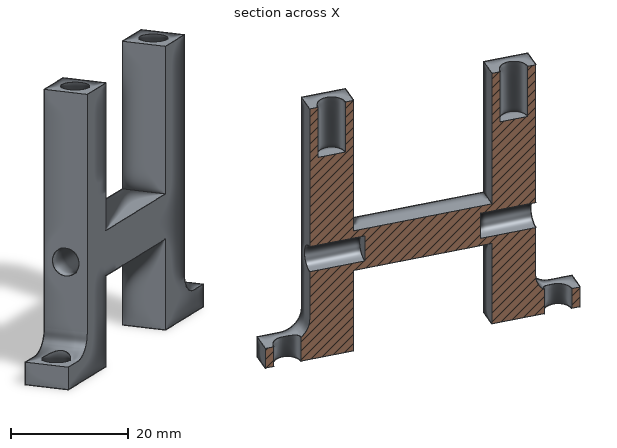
import cadquery as cq

length = 57.0
height = 50.0
thickness = 8.0
gap = 25.0
post_width = 8.0
foot_height = 4.0
foot_fillet = 4.0
bar_height = 8.0
bar_center_z = 20.0
hole_diameter = 4.9
blind_depth = 10.0

post_inner_y = gap / 2
post_outer_y = post_inner_y + post_width
post_center_y = post_inner_y + post_width / 2
foot_hole_y = (post_outer_y + length / 2) / 2


def block(y_min, y_max, z_min, z_max):
    """Full-thickness block centred on X, between the given Y and Z limits."""
    return (
        cq.Workplane("XY")
        .box(thickness, y_max - y_min, z_max - z_min, centered=(True, False, False))
        .translate((0, y_min, z_min))
    )


def drill(start, direction, depth):
    """Cylinder for a hole that enters at start and runs along direction."""
    return cq.Solid.makeCylinder(
        hole_diameter / 2, depth, cq.Vector(*start), cq.Vector(*direction)
    )


def leg():
    """Post on the +Y side with its filleted foot."""
    post = block(post_inner_y, post_outer_y, 0, height)
    foot = block(post_inner_y, length / 2, 0, foot_height)
    corner = cq.selectors.NearestToPointSelector((0, post_outer_y, foot_height))
    return post.union(foot).edges(corner).fillet(foot_fillet)


def leg_holes():
    """Holes of the +Y leg: through the foot, into the post top, into the crossbar end."""
    foot_hole = drill((0, foot_hole_y, 0), (0, 0, 1), height)
    top_hole = drill((0, post_center_y, height), (0, 0, -1), blind_depth)
    side_hole = drill((0, post_outer_y, bar_center_z), (0, -1, 0), blind_depth)
    return [foot_hole, top_hole, side_hole]


crossbar = block(
    -post_inner_y, post_inner_y, bar_center_z - bar_height / 2, bar_center_z + bar_height / 2
)
near_leg = leg()
frame = crossbar.union(near_leg).union(near_leg.mirror("XZ"))

result = frame
for hole in leg_holes():
    result = result.cut(cq.Workplane(hole))
    result = result.cut(cq.Workplane(hole).mirror("XZ"))